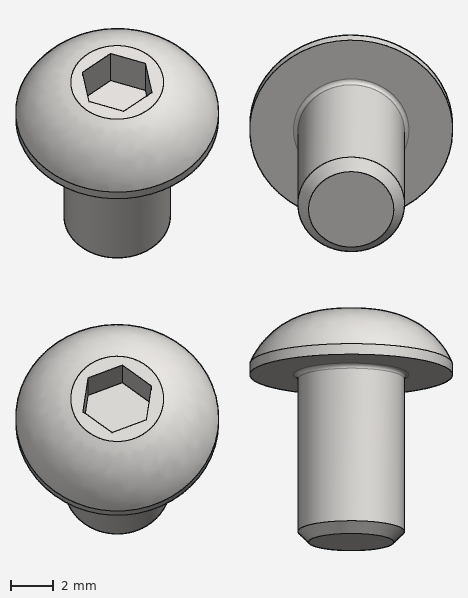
import cadquery as cq
import math

total_length = 10.75
head_diameter = 9.5
head_height = 2.75
rim_height = 0.5
crown_flat_diameter = 4.34
dome_radius = 3.92

shank_diameter = 5.0
tip_chamfer = 0.5
neck_fillet = 0.2

socket_across_flats = 3.0
socket_depth = 2.07

head_radius = head_diameter / 2
crown_radius = crown_flat_diameter / 2
shank_radius = shank_diameter / 2
head_base = total_length - head_height
rim_top = head_base + rim_height


def point_on_bulge(start, end, radius):
    """Middle point of the arc that bulges to the right of the path start to end."""
    run = end[0] - start[0]
    rise = end[1] - start[1]
    chord = math.hypot(run, rise)
    bulge = radius - math.sqrt(radius**2 - (chord / 2) ** 2)
    middle_x = (start[0] + end[0]) / 2
    middle_z = (start[1] + end[1]) / 2
    return (middle_x + bulge * rise / chord, middle_z - bulge * run / chord)


def make_screw_body():
    """Revolve the half outline of the shank, neck fillet and domed head about Z."""
    rim_edge = (head_radius, rim_top)
    crown_edge = (crown_radius, total_length)
    return (
        cq.Workplane("XZ")
        .lineTo(shank_radius - tip_chamfer, 0)
        .lineTo(shank_radius, tip_chamfer)
        .lineTo(shank_radius, head_base - neck_fillet)
        .radiusArc((shank_radius + neck_fillet, head_base), neck_fillet)
        .lineTo(head_radius, head_base)
        .lineTo(*rim_edge)
        .threePointArc(point_on_bulge(rim_edge, crown_edge, dome_radius), crown_edge)
        .lineTo(0, total_length)
        .close()
        .revolve(360, (0, 0), (0, 1))
    )


def make_socket():
    """Hexagonal prism with two corners on the Y axis."""
    across_corners = socket_across_flats / math.cos(math.pi / 6)
    return (
        cq.Workplane("XY", origin=(0, 0, total_length - socket_depth))
        .transformed(rotate=(0, 0, 90))
        .polygon(6, across_corners)
        .extrude(socket_depth)
    )


result = make_screw_body().cut(make_socket())